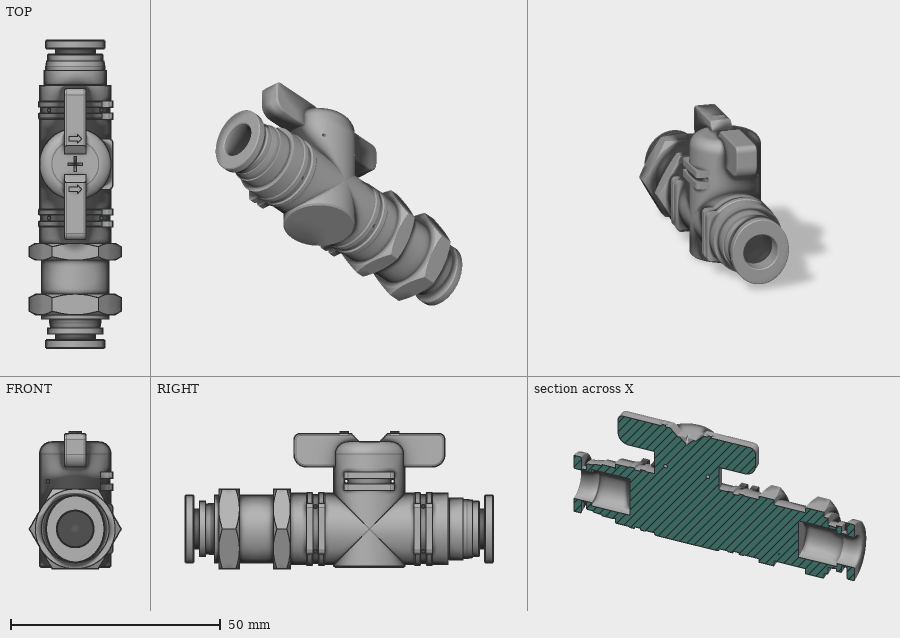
import cadquery as cq
import math


BODY_RADIUS = 8.5
BODY_REAR_Y = 18.75
REAR_END_Y = 29.55
TOTAL_LENGTH = 73.5
FRONT_END_Y = REAR_END_Y - TOTAL_LENGTH
OVERALL_HEIGHT = 32.7

COLLAR_HALF_WIDTH = 7.05
COLLAR_HALF_HEIGHT = 8.1
COLLAR_THICKNESS = 2.05
COLLAR_CHAMFER = 0.2
NECK_RADIUS = 4.8
RING_RADIUS = 6.6

REAR_RING_Y = 26.25
RING_CHAMFER = 0.2
CONE_REAR_Y = 24.6
CONE_REAR_RADIUS = 6.8
CONE_FRONT_Y = 23.3
CONE_FRONT_RADIUS = 7.05
GUIDE_REAR_Y = 22.3
GUIDE_RADIUS = 7.4
GUIDE_CHAMFER = 0.3

INSERT_RADIUS = 6.1
INSERT_TAPER_Y = -37.85
INSERT_TIP_RADIUS = 5.9
FRONT_RING_Y = -40.6
FRONT_RING_WIDTH = 1.5

BORE_RADIUS = 4.25
BORE_DEPTH = 4.8
CHAMBER_RADIUS = 5.15
CHAMBER_DEPTH = 14.7
BORE_CHAMFER = 0.2

SLEEVE_RADIUS = 8.1
SLEEVE_END_Y = -37.0
HEX_SIDES = 6
NUT_ACROSS_FLATS = 19.0
NUT_CHAMFER_ANGLE = 30.0
INNER_NUT_Y = (-22.9, -18.9)
OUTER_NUT_Y = (-35.95, -31.0)

BAND_CENTER_Y = 12.85
BAND_RADIUS = 8.75
GROOVE_RADIUS = 8.2
GROOVE_HALF_WIDTH = 0.65
BAND_INNER_OFFSET = 0.8
BAND_OUTER_OFFSET = 1.9
BAND_HALF_WIDTH = 2.2

TAB_REACH = 9.0
TAB_HALF_WIDTH = 6.0
TAB_CORNER_RADIUS = 0.95

STEM_BOTTOM_Z = -9.2
STEM_TOP_Z = 20.8
STEM_BOTTOM_CHAMFER = 0.4
STEM_DOME_RADIUS = 2.95
STEM_TAB_Z = 11.4

PIN_RADIUS = 0.45
STEM_PIN_Y = 5.5
BODY_PIN_Z = 5.4
BODY_PIN_DEPTH = 1.1

ARROW_HEIGHT = 0.45
HANDLE_TOP_Z = OVERALL_HEIGHT - NUT_ACROSS_FLATS / 2 - ARROW_HEIGHT
HANDLE_BOTTOM_Z = 14.8
HANDLE_HALF_LENGTH = 18.0
HANDLE_HALF_WIDTH = 2.6
HANDLE_GAP_HALF = 2.4
HANDLE_TOP_RADIUS = 1.5
HANDLE_BOTTOM_RADIUS = 2.95
HANDLE_EDGE_FILLET = 0.45

ARROW_Y = 6.0
ARROW_HALF_LENGTH = 1.55
ARROW_NECK_X = 0.5
ARROW_SHAFT_HALF_WIDTH = 0.5
ARROW_HEAD_HALF_WIDTH = 1.0
CROSS_HALF_LENGTH = 1.8
CROSS_WIDTH = 0.6


def box(x_range, y_range, z_range):
    """Box between two limits on each axis."""
    size = [high - low for low, high in (x_range, y_range, z_range)]
    corner = (x_range[0], y_range[0], z_range[0])
    return cq.Workplane("XY").box(*size, centered=False).translate(corner)


def turned(profile):
    """Revolve (radius, y) points, closed along the axis, about the Y axis."""
    outline = [(0, profile[0][1])] + profile + [(0, profile[-1][1])]
    return cq.Workplane("XY").polyline(outline).close().revolve(360, (0, 0), (0, 1))


def band_profile(center_y):
    """Two bevelled bands with a groove between them, from +Y to -Y."""
    upper_half = [
        (BODY_RADIUS, BAND_HALF_WIDTH),
        (BAND_RADIUS, BAND_OUTER_OFFSET),
        (BAND_RADIUS, BAND_INNER_OFFSET),
        (GROOVE_RADIUS, GROOVE_HALF_WIDTH),
    ]
    lower_half = [(radius, -offset) for radius, offset in reversed(upper_half)]
    return [(radius, center_y + offset) for radius, offset in upper_half + lower_half]


def flow_body():
    """Everything turned about Y except the nuts and the oval collars."""
    rear_end = [
        (NECK_RADIUS, REAR_END_Y - COLLAR_THICKNESS / 2),
        (NECK_RADIUS, REAR_RING_Y),
        (RING_RADIUS - RING_CHAMFER, REAR_RING_Y),
        (RING_RADIUS, REAR_RING_Y - RING_CHAMFER),
        (RING_RADIUS, CONE_REAR_Y),
        (CONE_REAR_RADIUS, CONE_REAR_Y),
        (CONE_FRONT_RADIUS, CONE_FRONT_Y),
        (CONE_FRONT_RADIUS, GUIDE_REAR_Y),
        (GUIDE_RADIUS, GUIDE_REAR_Y),
        (GUIDE_RADIUS, BODY_REAR_Y + GUIDE_CHAMFER),
        (GUIDE_RADIUS - GUIDE_CHAMFER, BODY_REAR_Y),
        (BODY_RADIUS, BODY_REAR_Y),
    ]
    front_end = [
        (BODY_RADIUS, INNER_NUT_Y[1]),
        (SLEEVE_RADIUS, INNER_NUT_Y[1]),
        (SLEEVE_RADIUS, SLEEVE_END_Y),
        (INSERT_RADIUS, SLEEVE_END_Y),
        (INSERT_RADIUS, INSERT_TAPER_Y),
        (INSERT_TIP_RADIUS, FRONT_RING_Y + FRONT_RING_WIDTH),
        (RING_RADIUS, FRONT_RING_Y + FRONT_RING_WIDTH),
        (RING_RADIUS, FRONT_RING_Y),
        (NECK_RADIUS, FRONT_RING_Y),
        (NECK_RADIUS, FRONT_END_Y + COLLAR_THICKNESS / 2),
    ]
    bands = band_profile(BAND_CENTER_Y) + band_profile(-BAND_CENTER_Y)
    return turned(rear_end + bands + front_end)


def collar(low_y):
    """Oval release collar, taller than wide."""
    return (
        cq.Workplane("XZ", origin=(0, low_y, 0))
        .ellipse(COLLAR_HALF_WIDTH, COLLAR_HALF_HEIGHT)
        .extrude(-COLLAR_THICKNESS)
        .faces("<Y or >Y").edges().chamfer(COLLAR_CHAMFER)
    )


def nut(low_y, high_y):
    """Hex nut with flats facing +Z and -Z, and both faces cone-chamfered."""
    flat_radius = NUT_ACROSS_FLATS / 2
    corner_radius = flat_radius / math.cos(math.pi / HEX_SIDES)
    bevel = (corner_radius - flat_radius) * math.tan(math.radians(NUT_CHAMFER_ANGLE))
    prism = (
        cq.Workplane("XZ", origin=(0, low_y, 0))
        .polygon(HEX_SIDES, 2 * corner_radius)
        .extrude(low_y - high_y)
    )
    cone_limit = turned([
        (flat_radius, low_y),
        (corner_radius, low_y + bevel),
        (corner_radius, high_y - bevel),
        (flat_radius, high_y),
    ])
    return prism.intersect(cone_limit)


def bore(end_y, inward):
    """Blind tube socket, wider past the collar; inward is the Y direction into the part."""
    return turned([
        (BORE_RADIUS + BORE_CHAMFER, end_y),
        (BORE_RADIUS, end_y + inward * BORE_CHAMFER),
        (BORE_RADIUS, end_y + inward * BORE_DEPTH),
        (CHAMBER_RADIUS, end_y + inward * BORE_DEPTH),
        (CHAMBER_RADIUS, end_y + inward * CHAMBER_DEPTH),
    ])


def stem():
    """Domed upright cylinder crossing the body."""
    return (
        cq.Workplane("XY", origin=(0, 0, STEM_BOTTOM_Z))
        .circle(BODY_RADIUS)
        .extrude(STEM_TOP_Z - STEM_BOTTOM_Z)
        .faces(">Z").edges().fillet(STEM_DOME_RADIUS)
        .faces("<Z").edges().chamfer(STEM_BOTTOM_CHAMFER)
    )


def tab_pair():
    """Two stacked tabs on a Z-axis joint, centred on Z = 0."""
    thickness = BAND_HALF_WIDTH - GROOVE_HALF_WIDTH
    tab = (
        box((0, TAB_REACH), (-TAB_HALF_WIDTH, TAB_HALF_WIDTH), (0, thickness))
        .edges("|Z and >X").fillet(TAB_CORNER_RADIUS)
    )
    upper = tab.translate((0, 0, GROOVE_HALF_WIDTH))
    return upper.union(tab.translate((0, 0, -BAND_HALF_WIDTH)))


def stem_notch():
    """Arc groove between the stem tabs, as deep as the body grooves."""
    ring = (
        cq.Workplane("XY", origin=(0, 0, STEM_TAB_Z - GROOVE_HALF_WIDTH))
        .circle(TAB_REACH)
        .circle(GROOVE_RADIUS)
        .extrude(2 * GROOVE_HALF_WIDTH)
    )
    start_x = math.sqrt(BODY_RADIUS**2 - TAB_HALF_WIDTH**2)
    limit = box((start_x, TAB_REACH), (-BODY_RADIUS, BODY_RADIUS), (0, STEM_TOP_Z))
    return ring.intersect(limit)


def handle_wing():
    """Handle half on the +Y side, with a 45 degree slope toward the stem axis."""
    slope_run = HANDLE_TOP_Z - STEM_TOP_Z
    outline = [
        (0, HANDLE_BOTTOM_Z),
        (HANDLE_HALF_LENGTH, HANDLE_BOTTOM_Z),
        (HANDLE_HALF_LENGTH, HANDLE_TOP_Z),
        (HANDLE_GAP_HALF + slope_run, HANDLE_TOP_Z),
        (HANDLE_GAP_HALF, STEM_TOP_Z),
        (0, STEM_TOP_Z),
    ]
    return (
        cq.Workplane("YZ", origin=(-HANDLE_HALF_WIDTH, 0, 0))
        .polyline(outline).close()
        .extrude(2 * HANDLE_HALF_WIDTH)
        .edges("|X and >Y and >Z").fillet(HANDLE_TOP_RADIUS)
        .edges("|X and >Y and <Z").fillet(HANDLE_BOTTOM_RADIUS)
        .faces(">Y").edges("|Z").fillet(HANDLE_EDGE_FILLET)
    )


def arrow(center_y):
    """Raised arrow on the handle top, pointing to +X."""
    half_outline = [
        (-ARROW_HALF_LENGTH, ARROW_SHAFT_HALF_WIDTH),
        (ARROW_NECK_X, ARROW_SHAFT_HALF_WIDTH),
        (ARROW_NECK_X, ARROW_HEAD_HALF_WIDTH),
    ]
    mirrored = [(x, -y) for x, y in reversed(half_outline)]
    return (
        cq.Workplane("XY", origin=(0, center_y, HANDLE_TOP_Z))
        .polyline(half_outline + [(ARROW_HALF_LENGTH, 0)] + mirrored).close()
        .extrude(ARROW_HEIGHT)
    )


def cross_groove():
    """One arm of the cross: a V-bottomed slot along Y, deepest at the centre."""
    outline = [(-CROSS_HALF_LENGTH, 0), (0, -CROSS_HALF_LENGTH), (CROSS_HALF_LENGTH, 0)]
    return (
        cq.Workplane("YZ", origin=(-CROSS_WIDTH / 2, 0, STEM_TOP_Z))
        .polyline(outline).close()
        .extrude(CROSS_WIDTH)
    )


def pin_hole(start_x, length, y, z):
    """Small round hole along X."""
    return cq.Workplane("YZ", origin=(start_x, y, z)).circle(PIN_RADIUS).extrude(length)


result = flow_body().union(stem())
for collar_y in (FRONT_END_Y, REAR_END_Y - COLLAR_THICKNESS):
    result = result.union(collar(collar_y))
for nut_limits in (INNER_NUT_Y, OUTER_NUT_Y):
    result = result.union(nut(*nut_limits))

result = result.cut(stem_notch())
result = result.union(tab_pair().translate((0, 0, STEM_TAB_Z)))
body_tabs = tab_pair().rotate((0, 0, 0), (1, 0, 0), 90)
for side in (-1, 1):
    result = result.union(body_tabs.translate((0, side * BAND_CENTER_Y, 0)))

wing = handle_wing()
result = result.union(wing).union(wing.mirror("XZ"))
for side in (-1, 1):
    result = result.union(arrow(side * ARROW_Y))

result = result.cut(cross_groove())
result = result.cut(cross_groove().rotate((0, 0, 0), (0, 0, 1), 90))

result = result.cut(bore(REAR_END_Y, -1)).cut(bore(FRONT_END_Y, 1))

pin_floor_x = math.sqrt(GROOVE_RADIUS**2 - BODY_PIN_Z**2) - BODY_PIN_DEPTH
for side in (-1, 1):
    result = result.cut(pin_hole(-BODY_RADIUS, 2 * BODY_RADIUS, side * STEM_PIN_Y, STEM_TAB_Z))
    for joint_y in (-BAND_CENTER_Y, BAND_CENTER_Y):
        for start_x in (-BODY_RADIUS, pin_floor_x):
            drill_length = BODY_RADIUS - pin_floor_x
            result = result.cut(pin_hole(start_x, drill_length, joint_y, side * BODY_PIN_Z))